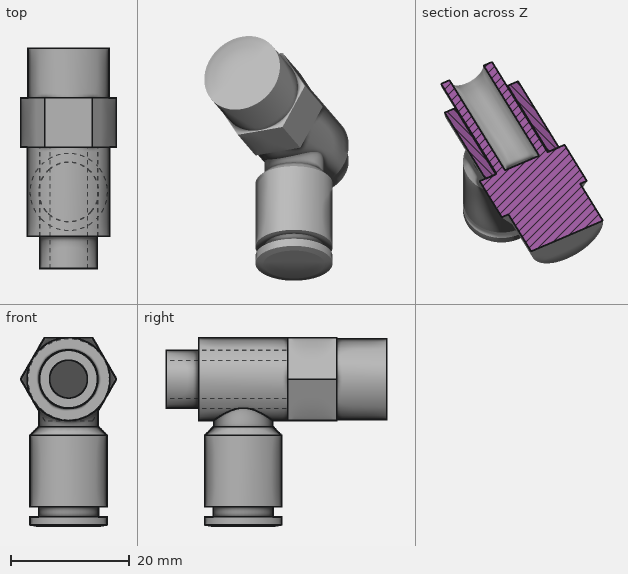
import cadquery as cq
import math

total_length = 37.2
spigot_length = 5.45
sleeve_length = 15.03
hex_length = 8.3
end_length = total_length - spigot_length - sleeve_length - hex_length
hex_across_corners = 16.2
spigot_diameter = 9.75
end_diameter = 13.7
bore_diameter = 6.4
bore_depth = spigot_length + sleeve_length

sleeve_diameter = 14.0
sleeve_bore_diameter = 9.9

total_height = 31.8
hex_across_flats = hex_across_corners * math.cos(math.pi / 6)
neck_diameter = 10.0
barrel_diameter = 13.02
groove_diameter = 10.1
tip_diameter = 10.4
neck_bottom = 8.0
shoulder_height = (barrel_diameter - neck_diameter) / 2
barrel_top = neck_bottom + shoulder_height
barrel_bottom = 21.55
groove_height = 1.67
flange_top = barrel_bottom + groove_height
tip_bottom = total_height - hex_across_flats / 2
tip_height = 0.22
flange_bottom = tip_bottom - tip_height

sleeve_start = spigot_length
hex_start = sleeve_start + sleeve_length
end_start = hex_start + hex_length
branch_y = sleeve_start + sleeve_length / 2


def section_plane(y):
    """Plane across the stud axis, facing +Y."""
    return cq.Workplane(cq.Plane(origin=(0, y, 0), xDir=(1, 0, 0), normal=(0, 1, 0)))


def cylinder_along_y(diameter, y, length):
    return section_plane(y).circle(diameter / 2).extrude(length)


def make_stud():
    """Spigot, hexagon and round end in one piece, with a blind bore."""
    spigot = cylinder_along_y(spigot_diameter, 0, hex_start)
    hexagon = section_plane(hex_start).polygon(6, hex_across_corners).extrude(hex_length)
    end = cylinder_along_y(end_diameter, end_start, end_length)
    bore = cylinder_along_y(bore_diameter, 0, bore_depth)
    return spigot.union(hexagon).union(end).cut(bore)


def make_branch():
    """Turned profile: neck, cone, barrel, groove and flange with a tapered tip."""
    steps = [
        (neck_diameter, 0),
        (neck_diameter, neck_bottom),
        (barrel_diameter, barrel_top),
        (barrel_diameter, barrel_bottom),
        (groove_diameter, barrel_bottom),
        (groove_diameter, flange_top),
        (barrel_diameter, flange_top),
        (barrel_diameter, flange_bottom),
        (tip_diameter, tip_bottom),
    ]
    outline = [(0, 0)] + [(diameter / 2, -depth) for diameter, depth in steps] + [(0, -tip_bottom)]
    profile = cq.Workplane("XZ").polyline(outline).close()
    return profile.revolve(360, (0, 0, 0), (0, 1, 0)).translate((0, branch_y, 0))


def make_swivel():
    """Sleeve with its branch, bored through for the stud with a small clearance."""
    sleeve = cylinder_along_y(sleeve_diameter, sleeve_start, sleeve_length)
    bore = cylinder_along_y(sleeve_bore_diameter, sleeve_start, sleeve_length)
    return sleeve.union(make_branch()).cut(bore)


stud = make_stud()
swivel = make_swivel()

result = cq.Compound.makeCompound([stud.val(), swivel.val()])